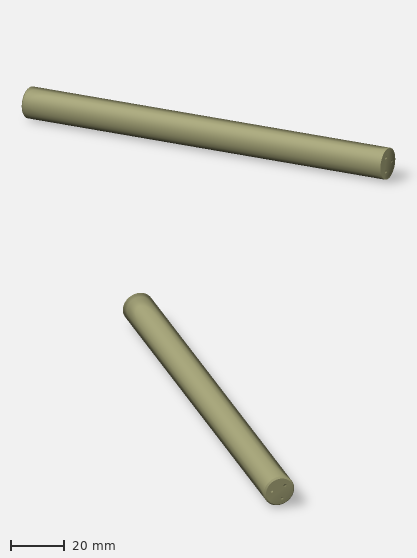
import cadquery as cq

rod_length = 150.0
rod_diameter = 12.0
end_chamfer = 0.6

channel_count = 3
channel_diameter = 1.1
channel_circle_radius = 3.15
channel_start_angle = 13.0
channel_lead = 65.3


def make_rod():
    rod = cq.Workplane("YZ").circle(rod_diameter / 2).extrude(rod_length)
    return rod.faces("<X").chamfer(end_chamfer)


def make_channels():
    """Evenly spaced helical channels, round in every section across the rod."""
    total_twist = 360 * rod_length / channel_lead
    return (
        cq.Workplane("YZ")
        .polarArray(channel_circle_radius, channel_start_angle, 360, channel_count)
        .circle(channel_diameter / 2)
        .twistExtrude(rod_length, total_twist)
    )


result = make_rod().cut(make_channels())